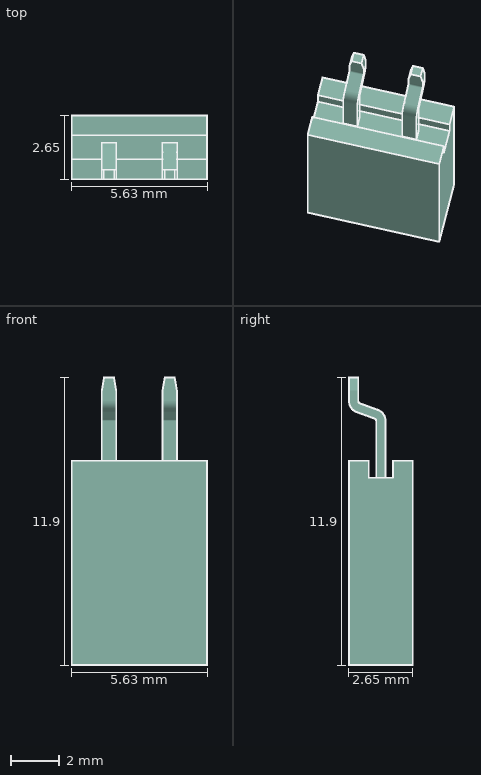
import cadquery as cq
import math

HOUSING_WIDTH = 5.63
HOUSING_DEPTH = 2.65
HOUSING_HEIGHT = 8.5
GROOVE_WIDTH = 1.0
GROOVE_DEPTH = 0.7
GROOVE_FLOOR = HOUSING_HEIGHT - GROOVE_DEPTH

TOTAL_HEIGHT = 11.95
PIN_COUNT = 2
PIN_PITCH = 2.52
PIN_WIDTH = 0.61
PIN_THICKNESS = 0.4
PIN_OFFSET = (HOUSING_DEPTH - PIN_THICKNESS) / 2
BEND_START = 10.15
BEND_ANGLE = math.radians(70)
BEND_INNER_RADIUS = 0.1
BEND_OUTER_RADIUS = BEND_INNER_RADIUS + PIN_THICKNESS
TIP_WIDTH = 0.42
TIP_TAPER_HEIGHT = 0.55


def make_housing():
    """Block with an open groove along its top face."""
    block = cq.Workplane("XY").box(
        HOUSING_WIDTH, HOUSING_DEPTH, HOUSING_HEIGHT, centered=(True, True, False)
    )
    groove = (
        cq.Workplane("XY")
        .workplane(offset=GROOVE_FLOOR)
        .rect(HOUSING_WIDTH, GROOVE_WIDTH)
        .extrude(GROOVE_DEPTH)
    )
    return block.cut(groove)


def pin_side_outline():
    """Side profile: two uprights and a sloping run, joined by equal and opposite bends."""
    half = PIN_THICKNESS / 2
    sine = math.sin(BEND_ANGLE)
    cosine = math.cos(BEND_ANGLE)
    mean_radius = (BEND_INNER_RADIUS + BEND_OUTER_RADIUS) / 2
    slope_shift = PIN_OFFSET - 2 * mean_radius * (1 - cosine)
    slope_rise = slope_shift / math.tan(BEND_ANGLE)
    bend_end = BEND_START + 2 * mean_radius * sine + slope_rise

    lower_y = -mean_radius
    upper_y = mean_radius - PIN_OFFSET

    def lower_arc_point(radius):
        return (lower_y + radius * cosine, BEND_START + radius * sine)

    def upper_arc_point(radius):
        return (upper_y - radius * cosine, bend_end - radius * sine)

    return (
        cq.Workplane("YZ")
        .moveTo(half, GROOVE_FLOOR)
        .lineTo(half, BEND_START)
        .tangentArcPoint(lower_arc_point(BEND_OUTER_RADIUS), relative=False)
        .lineTo(*upper_arc_point(BEND_INNER_RADIUS))
        .tangentArcPoint((half - PIN_OFFSET, bend_end), relative=False)
        .lineTo(half - PIN_OFFSET, TOTAL_HEIGHT)
        .lineTo(-half - PIN_OFFSET, TOTAL_HEIGHT)
        .lineTo(-half - PIN_OFFSET, bend_end)
        .tangentArcPoint(upper_arc_point(BEND_OUTER_RADIUS), relative=False)
        .lineTo(*lower_arc_point(BEND_INNER_RADIUS))
        .tangentArcPoint((-half, BEND_START), relative=False)
        .lineTo(-half, GROOVE_FLOOR)
        .close()
    )


def pin_front_envelope():
    """Block with the front silhouette of a pin, deeper than the pin on both sides."""
    half_width = PIN_WIDTH / 2
    half_tip = TIP_WIDTH / 2
    taper_start = TOTAL_HEIGHT - TIP_TAPER_HEIGHT
    return (
        cq.Workplane("XZ")
        .polyline([
            (-half_width, GROOVE_FLOOR),
            (half_width, GROOVE_FLOOR),
            (half_width, taper_start),
            (half_tip, TOTAL_HEIGHT),
            (-half_tip, TOTAL_HEIGHT),
            (-half_width, taper_start),
        ])
        .close()
        .extrude(HOUSING_DEPTH, both=True)
    )


def make_pin(x):
    """Cranked strip with both sides tapered at the tip, centred at the given X."""
    strip = pin_side_outline().extrude(PIN_WIDTH / 2, both=True)
    return strip.intersect(pin_front_envelope()).translate((x, 0, 0))


housing = make_housing()

pins = []
for index in range(PIN_COUNT):
    pin_x = (index - (PIN_COUNT - 1) / 2) * PIN_PITCH
    pins.append(make_pin(pin_x).solids().val())

result = cq.Compound.makeCompound([housing.val(), *pins])